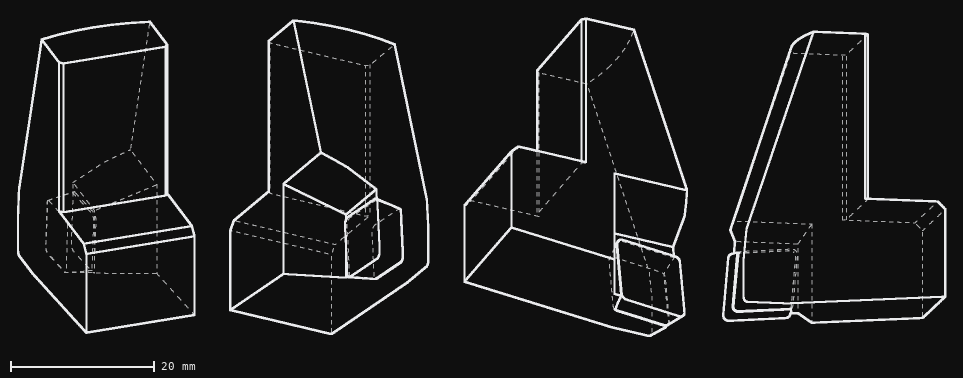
import cadquery as cq
import math

width = 29.95
thickness = 16.0
height = 39.95

post_back_x = 19.0
post_corner_chamfer = 0.48
ledge_z = 16.5
ledge_chamfer = 1.08

nose_x = 0.6
nose_z = 0.6
underside_end_z = 3.0
flank_slope = 0.095
nose_radius = 0.55

bow_top_edge_x = 11.2
bow_top_sag = 1.05
bow_base_edge_x = -2.25
bow_base_sag = 0.65

relief_x = 1.25
relief_z = 1.15
relief_corner_radius = 0.6
relief_angle = 9.0

gullet_floor_y = 8.03
gullet_low_z = 11.25
gullet_high_z = 15.75
gullet_inner_x = 10.6
gullet_outer_x = 14.18

insert_edge = 9.65
insert_thickness = 4.0
insert_rake_y = 8.35
insert_corner_radius = 0.8
insert_clearance = 7.0
insert_edge_lean = 5.0

margin = 4.0


def make_profile():
    """L-shaped side outline of the holder, extruded through its thickness."""
    flank_top_x = nose_x + flank_slope * (height - nose_z)
    profile = (
        cq.Workplane("XZ")
        .moveTo(nose_x, nose_z)
        .lineTo(width, underside_end_z)
        .lineTo(width, ledge_z)
        .lineTo(post_back_x, ledge_z)
        .lineTo(post_back_x, height)
        .lineTo(flank_top_x, height)
        .close()
        .extrude(-thickness)
    )
    nose = cq.selectors.NearestToPointSelector((nose_x, thickness / 2, nose_z))
    profile = profile.edges(nose).fillet(nose_radius)
    ledge_corner = cq.selectors.NearestToPointSelector((width, thickness / 2, ledge_z))
    profile = profile.edges(ledge_corner).chamfer(ledge_chamfer)
    for y in (0, thickness):
        middle_z = (ledge_z + height) / 2
        post_corner = cq.selectors.NearestToPointSelector((post_back_x, y, middle_z))
        profile = profile.edges(post_corner).chamfer(post_corner_chamfer)
    return profile


def bow_section(z, edge_x, sag):
    """Horizontal section of the material kept behind the bowed face."""
    far_x = width + margin
    return (
        cq.Workplane("XY", origin=(0, 0, z))
        .moveTo(edge_x, 0)
        .threePointArc((edge_x - sag, thickness / 2), (edge_x, thickness))
        .lineTo(far_x, thickness)
        .lineTo(far_x, 0)
        .close()
        .wires()
        .val()
    )


def make_bow_envelope():
    base = bow_section(0, bow_base_edge_x, bow_base_sag)
    top = bow_section(height, bow_top_edge_x, bow_top_sag)
    return cq.Workplane(cq.Solid.makeLoft([base, top], True))


def make_relief_envelope():
    """Block with rounded corners that widens away from the front face."""
    spread = thickness * math.tan(math.radians(relief_angle))
    back_x = relief_x - spread
    back_z = relief_z - spread
    block_width = width + margin + 2 * spread
    block_height = height + margin + 2 * spread
    return (
        cq.Workplane("XZ", origin=(back_x, thickness, back_z))
        .rect(block_width, block_height, centered=False)
        .extrude(thickness, taper=relief_angle)
        .edges("not #Y")
        .fillet(relief_corner_radius)
    )


def make_gullet():
    """Cut with a sloping roof and an angled end wall, open toward -X, +Y and -Z."""
    roof_slope = (gullet_high_z - gullet_low_z) / (thickness - gullet_floor_y)
    wall_slope = (gullet_outer_x - gullet_inner_x) / (thickness - gullet_floor_y)
    open_y = thickness + margin
    under_roof = (
        cq.Workplane("YZ", origin=(-margin, 0, 0))
        .moveTo(gullet_floor_y, -margin)
        .lineTo(open_y, -margin)
        .lineTo(open_y, gullet_high_z + roof_slope * margin)
        .lineTo(gullet_floor_y, gullet_low_z)
        .close()
        .extrude(width)
    )
    before_wall = (
        cq.Workplane("XY", origin=(0, 0, -margin))
        .moveTo(-margin, gullet_floor_y)
        .lineTo(gullet_inner_x, gullet_floor_y)
        .lineTo(gullet_outer_x + wall_slope * margin, open_y)
        .lineTo(-margin, open_y)
        .close()
        .extrude(height)
    )
    return under_roof.intersect(before_wall)


def make_insert():
    """Rounded rhombus with its rake face toward +Y, tapering toward the seat."""
    lean = math.radians(insert_edge_lean)
    along = insert_edge * math.cos(lean)
    across = insert_edge * math.sin(lean)
    corner = insert_corner_radius - insert_corner_radius / (math.cos(lean) - math.sin(lean))
    outline = (
        cq.Sketch()
        .polygon([
            (corner, corner),
            (corner + along, corner + across),
            (corner + along + across, corner + along + across),
            (corner + across, corner + along),
            (corner, corner),
        ])
    )
    return (
        cq.Workplane("XZ", origin=(0, insert_rake_y, 0))
        .placeSketch(outline)
        .extrude(insert_thickness, taper=insert_clearance)
        .edges("not #Y")
        .fillet(insert_corner_radius)
    )


def make_holder(insert):
    holder = make_profile().intersect(make_bow_envelope()).intersect(make_relief_envelope())
    return holder.cut(make_gullet()).cut(insert)


cutting_insert = make_insert()
holder = make_holder(cutting_insert)

result = cq.Compound.makeCompound([holder.solids().val(), cutting_insert.solids().val()])